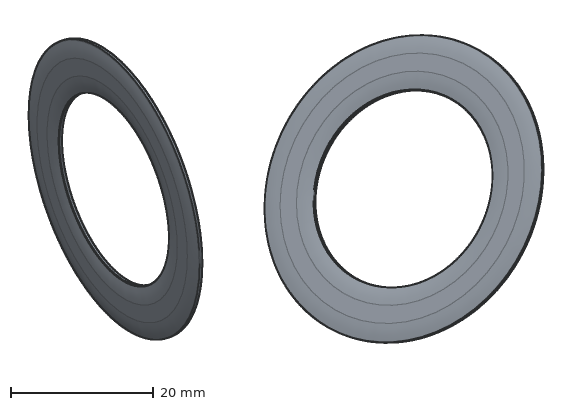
import cadquery as cq
import math

outer_radius = 22.22
inner_radius = 14.25
thickness = 1.2
rim_width = thickness / 2
edge_round = 0.11
crown_width = 2.65

half_thickness = thickness / 2
half_rim = rim_width / 2
flat_outer_radius = outer_radius - crown_width
flat_inner_radius = inner_radius + crown_width

crown_drop = half_thickness - half_rim
crown_radius = (crown_width**2 + crown_drop**2) / (2 * crown_drop)
mid_angle = math.asin(crown_width / crown_radius) / 2
mid_reach = crown_radius * math.sin(mid_angle)
mid_height = half_thickness - crown_radius * (1 - math.cos(mid_angle))
outer_mid = flat_outer_radius + mid_reach
inner_mid = flat_inner_radius - mid_reach

section = (
    cq.Workplane("XY")
    .moveTo(flat_inner_radius, half_thickness)
    .lineTo(flat_outer_radius, half_thickness)
    .threePointArc((outer_mid, mid_height), (outer_radius, half_rim))
    .lineTo(outer_radius, -half_rim)
    .threePointArc((outer_mid, -mid_height), (flat_outer_radius, -half_thickness))
    .lineTo(flat_inner_radius, -half_thickness)
    .threePointArc((inner_mid, -mid_height), (inner_radius, -half_rim))
    .lineTo(inner_radius, half_rim)
    .threePointArc((inner_mid, mid_height), (flat_inner_radius, half_thickness))
    .close()
)

ring = section.revolve(360, (0, 0, 0), (0, 1, 0))

search_radius = outer_radius + rim_width
search_half_width = (half_rim + half_thickness) / 2
edge_box = cq.selectors.BoxSelector(
    (-search_radius, -search_half_width, -search_radius),
    (search_radius, search_half_width, search_radius),
    boundingbox=True,
)
result = ring.edges("%CIRCLE").edges(edge_box).fillet(edge_round)